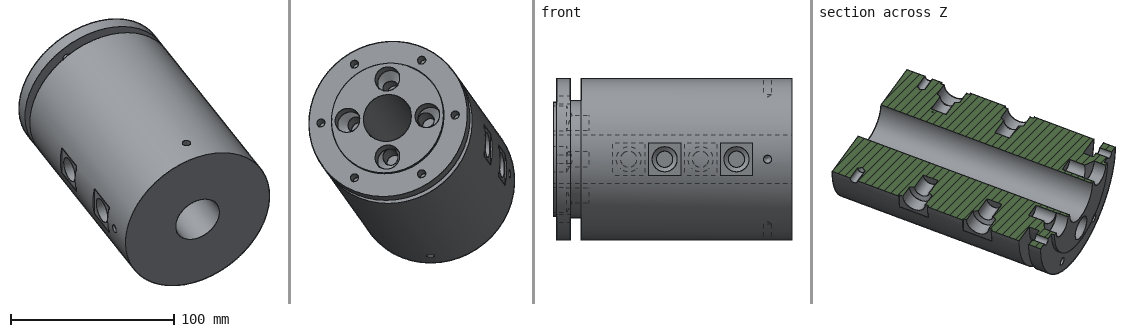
import cadquery as cq
import math

LENGTH = 146.0
BODY_DIA = 99.0
SPIGOT_DIA = 70.0
NECK_DIA = 72.0
BORE_DIA = 30.0
FLANGE_START = 2.0
FLANGE_END = 10.4
BODY_START = 17.0

PORT_DIA = 15.3
FACE_PORT_DEPTH = 8.0
SIDE_PORT_DEPTH = 8.8
PASSAGE_DEPTH = 21.9
DRILL_TIP_ANGLE = 118.0

FACE_PORT_COUNT = 4
FACE_PORT_RADIUS = 25.0
FACE_PASSAGE_RADIUS = 22.2
FACE_PASSAGE_DIA = 9.3

SIDE_PASSAGE_DIA = 10.0
SPOT_SIZE = 19.9
SPOT_DEPTH = 1.2
SIDE_PORT_PITCH = 44.0
FIRST_FRONT_PORT_X = 68.0
FIRST_BACK_PORT_X = FIRST_FRONT_PORT_X - SIDE_PORT_PITCH / 2
PORTS_PER_SIDE = 2

FLANGE_HOLE_COUNT = 6
FLANGE_HOLE_DIA = 5.0
FLANGE_HOLE_RADIUS = 41.9

RADIAL_HOLE_COUNT = 4
RADIAL_HOLE_DIA = 5.0
RADIAL_HOLE_DEPTH = 10.0
RADIAL_HOLE_X = 131.0

BODY_RADIUS = BODY_DIA / 2
X_AXIS = cq.Vector(1, 0, 0)


def disc(diameter, start, end):
    """Solid cylinder on the X axis between two X positions."""
    return cq.Workplane(cq.Solid.makeCylinder(diameter / 2, end - start, cq.Vector(start, 0, 0), X_AXIS))


def drilled_hole(diameter, depth, point, direction):
    """Cylinder of the given depth from point, ending in a conical drill tip."""
    radius = diameter / 2
    tip_length = radius / math.tan(math.radians(DRILL_TIP_ANGLE / 2))
    shank = cq.Solid.makeCylinder(radius, depth, point, direction)
    tip = cq.Solid.makeCone(radius, 0, tip_length, point + direction * depth, direction)
    return cq.Workplane(shank).union(cq.Workplane(tip))


def flat_hole(diameter, depth, point, direction):
    """Flat-bottomed cylinder of the given depth from point."""
    return cq.Workplane(cq.Solid.makeCylinder(diameter / 2, depth, point, direction))


def around_axis(index, count):
    """Unit vector at right angles to X for one of count equal angular steps, starting at +Y."""
    angle = 2 * math.pi * index / count
    return cq.Vector(0, math.cos(angle), math.sin(angle))


def turned_body():
    body = disc(SPIGOT_DIA, 0, FLANGE_START)
    body = body.union(disc(BODY_DIA, FLANGE_START, FLANGE_END))
    body = body.union(disc(NECK_DIA, FLANGE_END, BODY_START))
    body = body.union(disc(BODY_DIA, BODY_START, LENGTH))
    return body.cut(disc(BORE_DIA, 0, LENGTH))


def cut_face_ports(body):
    for index in range(FACE_PORT_COUNT):
        outward = around_axis(index, FACE_PORT_COUNT)
        body = body.cut(drilled_hole(PORT_DIA, FACE_PORT_DEPTH, outward * FACE_PORT_RADIUS, X_AXIS))
        passage_start = outward * FACE_PASSAGE_RADIUS + X_AXIS * FACE_PORT_DEPTH
        passage_length = PASSAGE_DEPTH - FACE_PORT_DEPTH
        body = body.cut(flat_hole(FACE_PASSAGE_DIA, passage_length, passage_start, X_AXIS))
    return body


def cut_side_port(body, x, side):
    """Port at the given X on the +Y (side = 1) or -Y (side = -1) of the body."""
    outward = cq.Vector(0, side, 0)
    spot_y = BODY_RADIUS - SPOT_DEPTH
    spot = cq.Workplane("XY").box(SPOT_SIZE, 2 * SPOT_DEPTH, SPOT_SIZE)
    body = body.cut(spot.translate((x, side * BODY_RADIUS, 0)))
    port_start = cq.Vector(x, side * spot_y, 0)
    body = body.cut(drilled_hole(PORT_DIA, SIDE_PORT_DEPTH, port_start, -outward))
    return body.cut(flat_hole(SIDE_PASSAGE_DIA, PASSAGE_DEPTH, port_start, -outward))


def cut_side_ports(body):
    for index in range(PORTS_PER_SIDE):
        shift = index * SIDE_PORT_PITCH
        body = cut_side_port(body, FIRST_FRONT_PORT_X + shift, -1)
        body = cut_side_port(body, FIRST_BACK_PORT_X + shift, 1)
    return body


def cut_flange_holes(body):
    thickness = FLANGE_END - FLANGE_START
    for index in range(FLANGE_HOLE_COUNT):
        start = around_axis(index, FLANGE_HOLE_COUNT) * FLANGE_HOLE_RADIUS + X_AXIS * FLANGE_START
        body = body.cut(flat_hole(FLANGE_HOLE_DIA, thickness, start, X_AXIS))
    return body


def cut_radial_holes(body):
    for index in range(RADIAL_HOLE_COUNT):
        outward = around_axis(index, RADIAL_HOLE_COUNT)
        start = outward * BODY_RADIUS + X_AXIS * RADIAL_HOLE_X
        body = body.cut(drilled_hole(RADIAL_HOLE_DIA, RADIAL_HOLE_DEPTH, start, -outward))
    return body


result = turned_body()
result = cut_face_ports(result)
result = cut_side_ports(result)
result = cut_flange_holes(result)
result = cut_radial_holes(result)